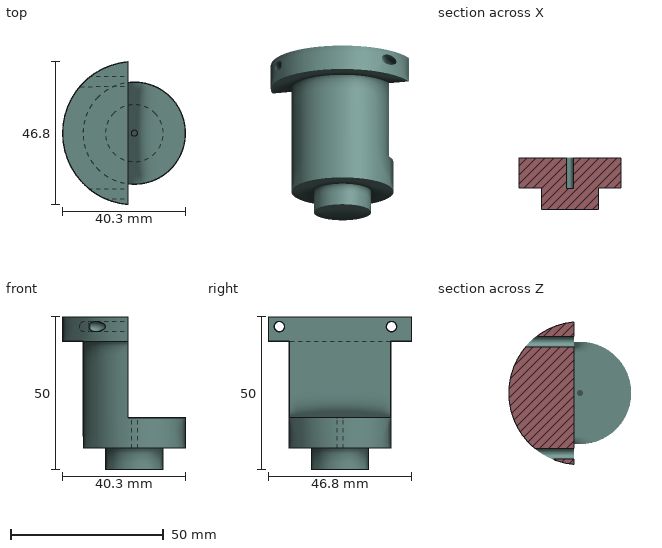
import cadquery as cq

base_diameter = 33.5
base_height = 10.0

stub_diameter = 18.8
stub_height = 7.0

flat_x = -2.0
column_height = 25.0
flange_diameter = 47.0
flange_height = 8.0

centre_hole_diameter = 2.0
centre_hole_depth = base_height

cross_hole_diameter = 3.3
cross_hole_spacing = 36.7
cross_hole_offset_y = -1.5
cross_hole_drop = 3.2

base_bottom = stub_height
base_top = base_bottom + base_height
flange_bottom = base_top + column_height
flange_top = flange_bottom + flange_height


def disc(diameter, bottom, height):
    """Cylinder on the Z axis, standing on the given level."""
    return cq.Workplane("XY").workplane(offset=bottom).circle(diameter / 2).extrude(height)


def cut_disc(diameter, bottom, height):
    """Disc that keeps only the material on the -X side of the flat."""
    remaining_side = (
        cq.Workplane("XY")
        .workplane(offset=bottom)
        .center(flat_x - diameter / 2, 0)
        .rect(diameter, diameter)
        .extrude(height)
    )
    return disc(diameter, bottom, height).intersect(remaining_side)


def cross_holes():
    """Pair of cylinders along X that pass right through the flange."""
    half_spacing = cross_hole_spacing / 2
    axis_height = flange_top - cross_hole_drop
    return (
        cq.Workplane("YZ")
        .center(cross_hole_offset_y, axis_height)
        .pushPoints([(-half_spacing, 0), (half_spacing, 0)])
        .circle(cross_hole_diameter / 2)
        .extrude(flange_diameter, both=True)
    )


stub = disc(stub_diameter, 0, stub_height)
base = disc(base_diameter, base_bottom, base_height)
column = cut_disc(base_diameter, base_top, column_height)
flange = cut_disc(flange_diameter, flange_bottom, flange_height)
centre_hole = disc(centre_hole_diameter, base_top - centre_hole_depth, centre_hole_depth)

body = stub.union(base).union(column).union(flange)
result = body.cut(centre_hole).cut(cross_holes())